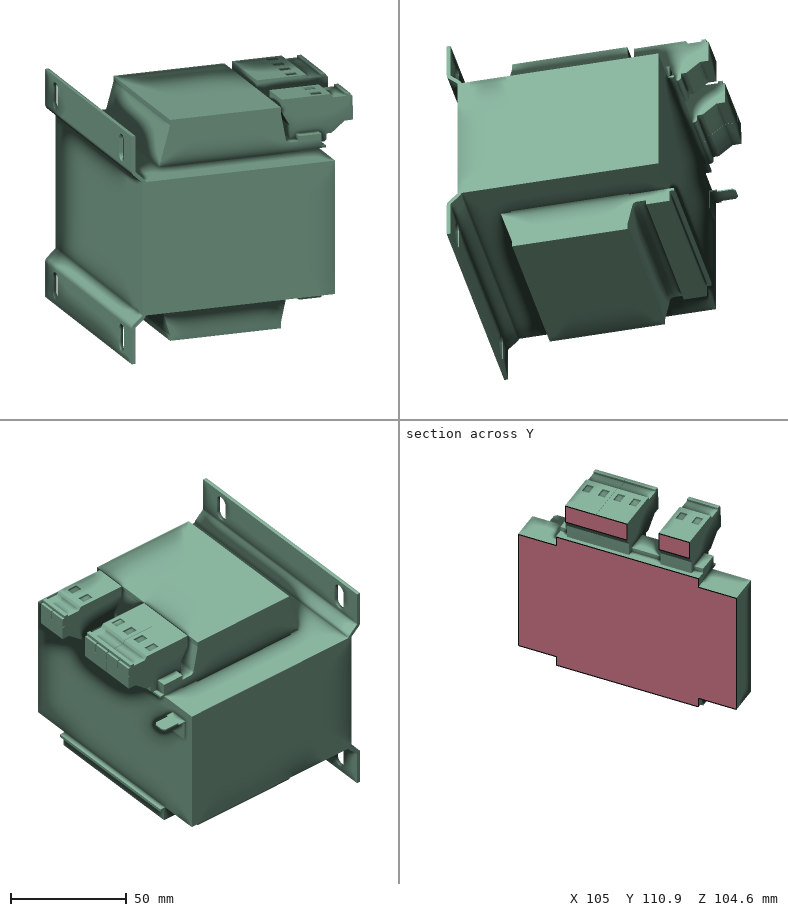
import cadquery as cq
import math


core_width = 105.0
core_stack = 60.4
limb = core_width / 6
core_depth = 5 * limb
core_front = 6.6
core_rear = core_front + core_depth
yoke_front = core_rear - limb
window_width = core_width - 2 * limb
window_depth = 3 * limb
core_top = core_stack / 2

bracket_height = 103.2
sheet = 1.7
web_front = core_front - sheet
foot_bend_z = 34.5
bend_angle = 48.0
bend_inner_radius = 1.0
bend_outer_radius = bend_inner_radius + sheet
slot_spacing_x = 80.4
slot_spacing_z = 86.0
slot_width = 6.0
slot_length = 12.2

bobbin_width = 68.6
bobbin_front = 19.6
crown_front = 24.7
crown_rear = 75.9
crown_edge = 2.4
crown_top = 51.0
crown_bottom = 49.0
neck_rear = 78.5
rail_height = 37.0
rail_front = 84.3
rail_rear = 94.7
groove_floor = 34.8
groove_radius = 2.0
lip_rear = 96.7
lip_thickness = 1.4
upper_lip_gap = 0.4

terminal_pitch = 15.0
terminal_gap = 0.1
terminal_width = terminal_pitch - terminal_gap
terminal_centers = (-1.5 * terminal_pitch, -0.5 * terminal_pitch, 1.5 * terminal_pitch)
terminal_top = 53.0
terminal_front = 77.9
terminal_rear = 110.9
terminal_stem_front = 81.8
terminal_nose_bottom = terminal_top - 5.6
terminal_stem_top = terminal_top - 12.2
terminal_heel_rear = 98.6
terminal_heel_bottom = 32.7
terminal_heel_top = 35.4
terminal_ramp_front = 101.0
terminal_ramp_rear = 107.1
terminal_ramp_top = 40.3
recess_floor = terminal_top - 1.6
recess_front = 101.8
recess_front_slope = 1.0
recess_rear = 107.9
rear_rib_top = terminal_top - 0.6
terminal_foot_rear = 97.7
terminal_foot_bottom = 31.9
rear_step = 1.1
tab_top = terminal_top - 2.0
tab_bottom = terminal_top - 6.3
tab_width = 7.0
tab_spacing = 7.5
wire_hole_spacing = 7.6
wire_hole_width = 3.4
wire_hole_length = 5.1
wire_hole_depth = 0.8
wire_hole_y = 95.1

earth_x = -43.9
earth_sheet = 0.6
earth_z = 24.8
earth_bottom = 15.4
earth_base_width = 8.5
earth_base_rear = 97.6
earth_blade_width = 6.6
earth_blade_rear = 105.5
earth_blade_chamfer = 1.2


def extrude_along_x(points, width, center_x=0.0):
    """Extrude a (y, z) outline symmetrically about center_x."""
    profile = cq.Workplane("YZ", origin=(center_x, 0, 0)).polyline(points).close()
    return profile.extrude(width / 2, both=True)


def box_between(x_range, y_range, z_range):
    """Box spanning the three given ranges."""
    sizes = [high - low for low, high in (x_range, y_range, z_range)]
    low_corner = (x_range[0], y_range[0], z_range[0])
    return cq.Workplane("XY").box(*sizes, centered=False).translate(low_corner)


def make_core():
    """Core block with one window through it, later bridged by the winding body."""
    half = core_width / 2
    core = box_between((-half, half), (core_front, core_rear), (-core_top, core_top))
    half_window = window_width / 2
    window = box_between(
        (-half_window, half_window),
        (yoke_front - window_depth, yoke_front),
        (-core_top, core_top),
    )
    return core.cut(window)


def round_bends(body, corners, radius):
    """Round the edges along x at the given (y, z) corners and at their mirror images in z."""
    for y, z in corners:
        for side in (1, -1):
            edge = cq.selectors.NearestToPointSelector((0, y, side * z))
            body = body.edges("|X").edges(edge).fillet(radius)
    return body


def make_bracket():
    """Web against the core with two feet cranked forward to the mounting plane."""
    crank_rise = web_front / math.tan(math.radians(bend_angle))
    corner_shift = sheet * math.tan(math.radians(bend_angle / 2))
    foot_end = bracket_height / 2
    web_bend_z = foot_bend_z - crank_rise
    front_corners = [(0, foot_end), (0, foot_bend_z), (web_front, web_bend_z)]
    rear_corners = [
        (core_front, web_bend_z + corner_shift),
        (sheet, foot_bend_z + corner_shift),
        (sheet, foot_end),
    ]
    lower_front = [(y, -z) for y, z in reversed(front_corners)]
    lower_rear = [(y, -z) for y, z in reversed(rear_corners)]
    outline = front_corners + lower_front + lower_rear + rear_corners
    bracket = extrude_along_x(outline, core_width)

    bracket = round_bends(bracket, [front_corners[1], rear_corners[0]], bend_outer_radius)
    bracket = round_bends(bracket, [front_corners[2], rear_corners[1]], bend_inner_radius)
    slots = (
        cq.Workplane("XZ")
        .rarray(slot_spacing_x, slot_spacing_z, 2, 2)
        .slot2D(slot_length, slot_width, 90)
        .extrude(-core_front)
    )
    return bracket.cut(slots)


def make_bobbin_half(crown_height):
    """Upper half of the winding body, from the core mid-plane to crown_height."""
    outline = [
        (yoke_front - window_depth, 0),
        (yoke_front - window_depth, core_top),
        (bobbin_front, core_top),
        (crown_front, crown_height - crown_edge),
        (crown_front, crown_height),
        (crown_rear, crown_height),
        (crown_rear, crown_height - crown_edge),
        (neck_rear, groove_floor),
        (rail_front, groove_floor),
        (rail_front, rail_height),
        (rail_rear, rail_height),
        (rail_rear, core_top + lip_thickness),
        (lip_rear, core_top + lip_thickness),
        (lip_rear, core_top),
        (yoke_front, core_top),
        (yoke_front, 0),
    ]
    half = extrude_along_x(outline, bobbin_width)
    groove_edge = cq.selectors.NearestToPointSelector((0, neck_rear, groove_floor))
    return half.edges("|X").edges(groove_edge).fillet(groove_radius)


def make_upper_bobbin():
    """Upper half of the winding body, with a thin gap between its rear rail and the core."""
    gap = box_between(
        (-bobbin_width / 2, bobbin_width / 2),
        (rail_front, lip_rear),
        (core_top, core_top + upper_lip_gap),
    )
    return make_bobbin_half(crown_top).cut(gap)


def make_terminal(center_x):
    """Terminal block with two rear tabs and two wire holes, seated on the bobbin rail."""
    body_rear = terminal_rear - rear_step
    outline = [
        (terminal_front, terminal_top),
        (terminal_front, terminal_nose_bottom),
        (terminal_stem_front, terminal_stem_top),
        (terminal_stem_front, groove_floor),
        (rail_rear, groove_floor),
        (rail_rear, terminal_foot_bottom),
        (terminal_foot_rear, terminal_foot_bottom),
        (terminal_heel_rear, terminal_heel_bottom),
        (terminal_heel_rear, terminal_heel_top),
        (terminal_ramp_front, terminal_heel_top),
        (terminal_ramp_rear, terminal_ramp_top),
        (terminal_rear, terminal_ramp_top),
        (terminal_rear, tab_bottom),
        (body_rear, tab_bottom),
        (body_rear, rear_rib_top),
        (recess_rear, rear_rib_top),
        (recess_rear, recess_floor),
        (recess_front, recess_floor),
        (recess_front - recess_front_slope, terminal_top),
    ]
    block = extrude_along_x(outline, terminal_width, center_x)
    for side in (-1, 1):
        tab_x = center_x + side * tab_spacing / 2
        tab = box_between(
            (tab_x - tab_width / 2, tab_x + tab_width / 2),
            (body_rear, terminal_rear),
            (tab_bottom, tab_top),
        )
        hole_x = center_x + side * wire_hole_spacing / 2
        hole = box_between(
            (hole_x - wire_hole_width / 2, hole_x + wire_hole_width / 2),
            (wire_hole_y - wire_hole_length / 2, wire_hole_y + wire_hole_length / 2),
            (terminal_top - wire_hole_depth, terminal_top),
        )
        block = block.union(tab).cut(hole)
    return block


def make_earth_tab():
    """Angle of thin sheet on the rear of the core with a blade pointing backwards."""

    def strip(width, y_range, z_range):
        return box_between((earth_x - width / 2, earth_x + width / 2), y_range, z_range)

    top = earth_z + earth_sheet / 2
    thickness_range = (top - earth_sheet, top)
    leg = strip(earth_base_width, (core_rear, core_rear + earth_sheet), (earth_bottom, top))
    base = strip(earth_base_width, (core_rear, earth_base_rear), thickness_range)
    blade = strip(earth_blade_width, (core_rear, earth_blade_rear), thickness_range)
    blade = blade.edges("|Z and >Y").chamfer(earth_blade_chamfer)
    return leg.union(base).union(blade)


result = make_core().union(make_bracket())
result = result.union(make_upper_bobbin())
result = result.union(make_bobbin_half(crown_bottom).mirror("XY"))
for terminal_x in terminal_centers:
    result = result.union(make_terminal(terminal_x))
result = result.union(make_earth_tab())